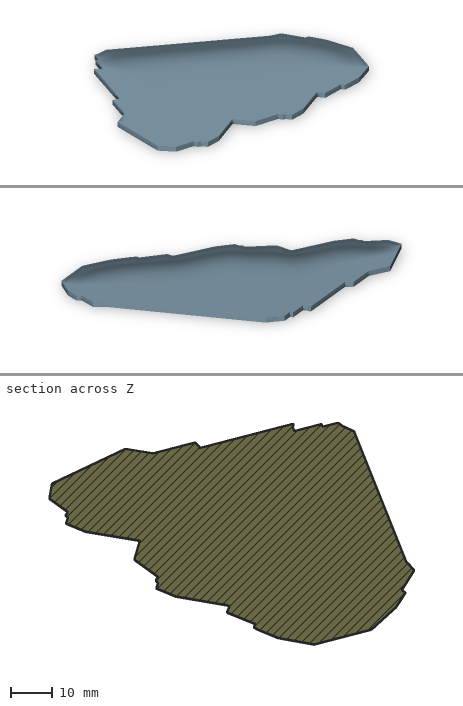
import cadquery as cq

length = 77.3
width = 69.7
thickness = 1.2

head_center_x = 22.6
head_flat_half = 7.3
head_shoulder_half = 15.0
head_shoulder_y = 65.2

lobe_tip = (61.0, 42.05)
lobe_pitch = (14.8, -25.1)
lobe_corners = [(-3.8, 3.8), (0, 0), (-0.9, -1.5), (-0.6, -2.3), (-1.5, -3.2)]
valley = (60.4, 27.3)
upper_lobe_nose = (63.4, 32.2)
lower_lobe_nose = (length, 8.6)

left_edge_x = 1.1
corner_ledge_y = 8.3
short_ledge_y = 7.4
long_ledge_y = 5.25
foot_ledge_y = 3.3
ledge_step_x = 7.9
ledge_end_x = 14.8


def head_facets():
    """Head corners from the left shoulder clockwise to the right one."""
    return [
        (head_center_x - head_shoulder_half, head_shoulder_y),
        (head_center_x - head_flat_half, width),
        (head_center_x + head_flat_half, width),
        (head_center_x + head_shoulder_half, head_shoulder_y),
    ]


def lobe(index):
    """Stepped corners of one lobe, shifted along the lobe pitch."""
    tip_x = lobe_tip[0] + index * lobe_pitch[0]
    tip_y = lobe_tip[1] + index * lobe_pitch[1]
    return [(tip_x + dx, tip_y + dy) for dx, dy in lobe_corners]


upper_lobe = lobe(0)
lower_lobe = lobe(1)

right_notches = [
    (41.4, 61.3),
    (42.2, 60.3),
    (41.5, 59.5),
    (47.0, 54.1),
    (45.85, 52.65),
    (46.15, 52.2),
]

lower_edge = [
    (75.3, 4.5),
    (55.2, 0),
    (49.25, foot_ledge_y),
    (38.6, foot_ledge_y),
    (37.95, long_ledge_y),
    (14.5, long_ledge_y),
    (14.3, 5.6),
    (ledge_end_x, 6.35),
    (ledge_end_x, short_ledge_y),
    (ledge_step_x, short_ledge_y),
    (ledge_step_x, corner_ledge_y),
    (4.0, corner_ledge_y),
    (3.25, 9.6),
]

left_edge = [
    (left_edge_x, 11.9),
    (left_edge_x, 52.9),
    (0, 56.0),
    (4.6, 60.7),
    (4.1, 61.8),
]

outline = (
    head_facets()
    + right_notches
    + upper_lobe
    + [upper_lobe_nose, valley]
    + lower_lobe
    + [lower_lobe_nose]
    + lower_edge
    + left_edge
)

result = cq.Workplane("XY").polyline(outline).close().extrude(thickness)